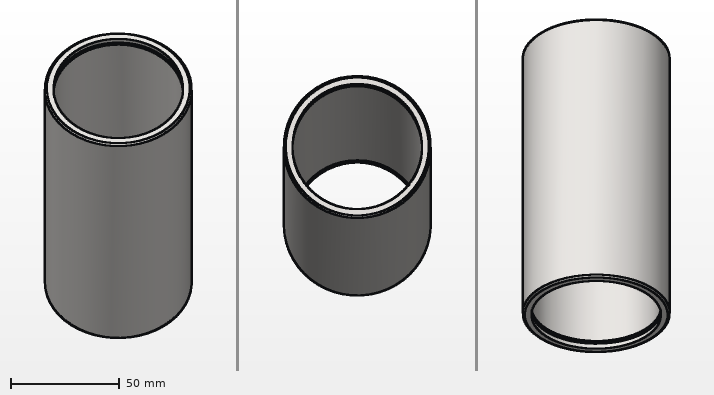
import cadquery as cq

length = 140.0
outer_diameter = 68.0
end_chamfer = 1.0
bore_diameter = 59.9

groove_depth = 0.8
groove_width = 1.5
groove_setback = 2.7


def make_sleeve():
    """Straight tube with both outer end edges chamfered."""
    cylinder = cq.Workplane("XY").circle(outer_diameter / 2).extrude(length)
    bore = cq.Workplane("XY").circle(bore_diameter / 2).extrude(length)
    return cylinder.faces("<Z or >Z").chamfer(end_chamfer).cut(bore)


def make_groove(base_height):
    """Disc that cuts one ring groove, starting at the given height."""
    groove_radius = bore_diameter / 2 + groove_depth
    return cq.Workplane("XY").workplane(offset=base_height).circle(groove_radius).extrude(groove_width)


result = make_sleeve()
for base_height in (groove_setback, length - groove_setback - groove_width):
    result = result.cut(make_groove(base_height))